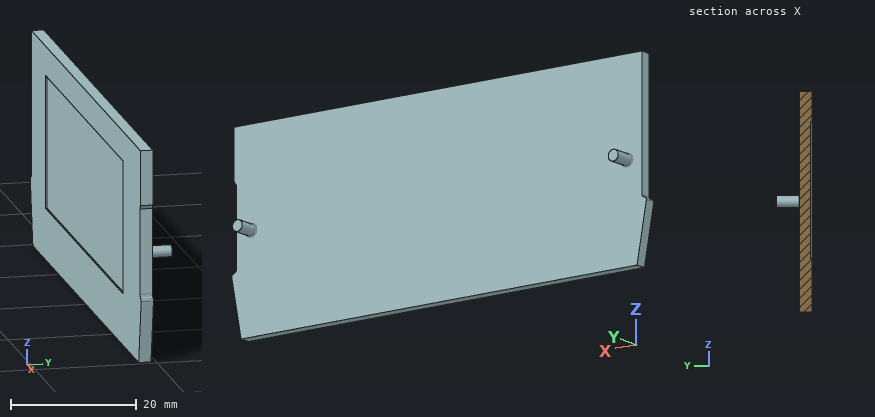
import cadquery as cq
import math

plate_thickness = 2.05
plate_height = 35.3
overall_width = 82.2
side_half_width = 40.2

flank_angle = math.radians(10)
ledge_angle = math.radians(30)
tip_radius = 0.3
tip_z = 10.6
root_tangent_length = 0.2

step_width = 0.4
step_bottom = 25.6
step_top = 26.2

label_width = 57.1
label_height = 21.9
label_centre_x = -1.1
label_centre_z = 19.5
label_depth = 0.25

overall_depth = 5.75
pin_diameter = 2.0
pin_root_radius = 0.2
pin_spacing = 74.5
pin_z = 17.7


def make_symmetric_plate():
    half_width = overall_width / 2
    tip_centre_x = half_width - tip_radius

    flank_top_x = tip_centre_x + tip_radius * math.cos(flank_angle)
    flank_top_z = tip_z - tip_radius * math.sin(flank_angle)
    bottom_half_width = flank_top_x - flank_top_z * math.tan(flank_angle)

    ledge_outer_x = tip_centre_x + tip_radius * math.sin(ledge_angle)
    ledge_outer_z = tip_z + tip_radius * math.cos(ledge_angle)
    corner_z = ledge_outer_z + (ledge_outer_x - side_half_width) * math.tan(ledge_angle)
    ledge_inner_x = side_half_width + root_tangent_length * math.cos(ledge_angle)
    ledge_inner_z = corner_z - root_tangent_length * math.sin(ledge_angle)

    half_outline = (
        cq.Workplane("XZ")
        .lineTo(bottom_half_width, 0)
        .lineTo(flank_top_x, flank_top_z)
        .threePointArc((half_width, tip_z), (ledge_outer_x, ledge_outer_z))
        .lineTo(ledge_inner_x, ledge_inner_z)
        .tangentArcPoint((side_half_width, corner_z + root_tangent_length), relative=False)
        .lineTo(side_half_width, plate_height)
        .lineTo(0, plate_height)
    )
    return half_outline.mirrorY().extrude(-plate_thickness)


def make_right_step():
    step_x = side_half_width + step_width
    outline = [
        (0, step_bottom),
        (side_half_width, step_bottom),
        (step_x, step_top),
        (step_x, plate_height),
        (0, plate_height),
    ]
    return cq.Workplane("XZ").polyline(outline).close().extrude(-plate_thickness)


def make_label_recess():
    return (
        cq.Workplane("XZ")
        .center(label_centre_x, label_centre_z)
        .rect(label_width, label_height)
        .extrude(-label_depth)
    )


def make_pin(x):
    radius = pin_diameter / 2
    root_top_y = plate_thickness + pin_root_radius
    arc_inset = pin_root_radius * (1 - math.sqrt(0.5))
    pin = (
        cq.Workplane("XY")
        .moveTo(0, plate_thickness)
        .lineTo(radius + pin_root_radius, plate_thickness)
        .threePointArc(
            (radius + arc_inset, plate_thickness + arc_inset),
            (radius, root_top_y),
        )
        .lineTo(radius, overall_depth)
        .lineTo(0, overall_depth)
        .close()
        .revolve(360, (0, 0), (0, 1))
    )
    return pin.translate((x, 0, pin_z))


plate = make_symmetric_plate().union(make_right_step()).clean()
result = plate.cut(make_label_recess())
for pin_x in (-pin_spacing / 2, pin_spacing / 2):
    result = result.union(make_pin(pin_x))